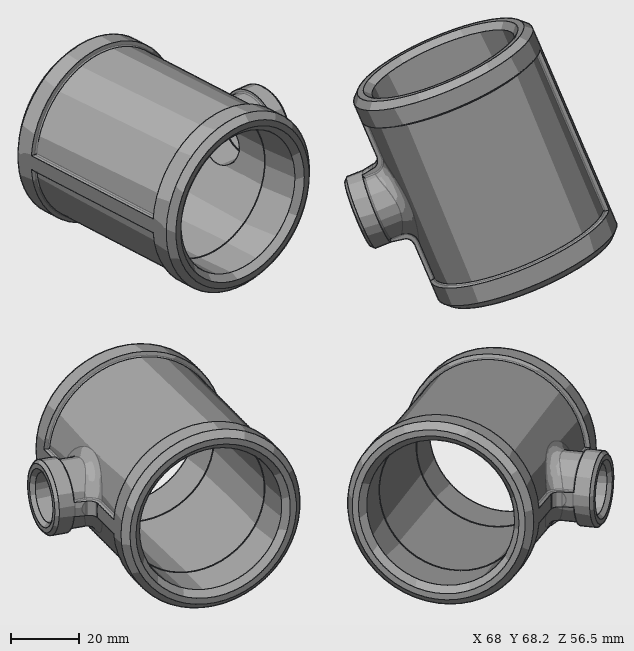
import cadquery as cq
import math

tube_length = 68.0
half_length = tube_length / 2
collar_radius = 56.5 / 2
collar_width = 8.0
collar_chamfer_length = 2.0
collar_chamfer_depth = 2.0
collar_step = 1.5
body_radius = collar_radius - collar_step

bore_radius = 44.84 / 2
mouth_radius = 48.7 / 2
thread_length = 15.0
relief_depth = 0.2
relief_radius = bore_radius + relief_depth

branch_end = 40.0
branch_collar_radius = 22.5 / 2
branch_collar_length = 6.0
branch_collar_start = branch_end - branch_collar_length
branch_chamfer = 1.0
neck_radius = 20.5 / 2
neck_fillet = 4.0
branch_bore_radius = 14.95 / 2
branch_relief_radius = 15.7 / 2
branch_thread_length = 9.0
branch_mouth_radius = 17.5 / 2

draft = math.radians(10)
root_fillet = 0.4
touch_tolerance = 1e-4

rib_width = 4.6
web_half_span = 11.6
web_fillet = 2.5


def turned_about_x(outline):
    return cq.Workplane("XY").polyline(outline).close().revolve(360, (0, 0, 0), (1, 0, 0))


def turned_about_y(outline):
    return cq.Workplane("XY").polyline(outline).close().revolve(360, (0, 0, 0), (0, 1, 0))


def cylinder_along_y(radius, start, end):
    return cq.Workplane("XZ", origin=(0, start, 0)).circle(radius).extrude(start - end)


def make_core():
    """Plain tube and branch neck, overlapping the collars to half their length."""
    core_half_length = half_length - collar_width / 2
    neck_top = branch_end - branch_collar_length / 2
    tube_plane = cq.Plane(origin=(0, 0, 0), xDir=(0, -1, 0), normal=(1, 0, 0))
    tube = cq.Workplane(tube_plane).circle(body_radius).extrude(core_half_length, both=True)
    neck = cylinder_along_y(neck_radius, 0, neck_top)
    junction = cq.selectors.BoxSelector(
        (-neck_radius, 0, -neck_radius),
        (neck_radius, branch_collar_start, neck_radius),
    )
    return tube.union(neck).edges(junction).edges("not #Z").fillet(neck_fillet)


def make_collar(side):
    """End collar with a chamfered rim and a drafted inner wall; side is -1 or 1."""
    foot = half_length - collar_width
    edge = foot + collar_step * math.tan(draft)
    return turned_about_x(
        [
            (side * half_length, 0),
            (side * half_length, collar_radius - collar_chamfer_depth),
            (side * (half_length - collar_chamfer_length), collar_radius),
            (side * edge, collar_radius),
            (side * foot, body_radius),
            (side * foot, 0),
        ]
    )


def make_branch_collar():
    foot = branch_collar_start
    edge = foot + (branch_collar_radius - neck_radius) * math.tan(draft)
    outline = [
        (0, branch_end),
        (branch_collar_radius, branch_end),
        (branch_collar_radius, edge),
        (neck_radius, foot),
        (0, foot),
    ]
    return turned_about_y(outline).faces(">Y").edges().chamfer(branch_chamfer)


def make_tube_ribs():
    slab = cq.Workplane("XY").box(tube_length - collar_width, 2 * collar_radius, rib_width)
    limit = cq.Workplane("YZ").circle(collar_radius).extrude(half_length, both=True)
    return slab.intersect(limit)


def make_branch_webs():
    """Ribs beside the neck, curving out onto the tube ribs and tapering up to the branch collar."""
    web_foot = web_half_span + web_fillet
    fillet_top = collar_radius + web_fillet
    plate = (
        cq.Workplane("XY")
        .moveTo(-web_foot, 0)
        .lineTo(-web_foot, collar_radius)
        .radiusArc((-web_half_span, fillet_top), -web_fillet)
        .lineTo(-web_half_span, branch_end - branch_chamfer)
        .lineTo(web_half_span, branch_end - branch_chamfer)
        .lineTo(web_half_span, fillet_top)
        .radiusArc((web_foot, collar_radius), -web_fillet)
        .lineTo(web_foot, 0)
        .close()
        .extrude(rib_width / 2, both=True)
    )
    cone_foot = branch_collar_radius + (branch_collar_start - fillet_top) * math.tan(draft)
    limit = turned_about_y(
        [
            (0, 0),
            (collar_radius, 0),
            (collar_radius, fillet_top),
            (cone_foot, fillet_top),
            (branch_collar_radius, branch_collar_start),
            (branch_collar_radius, branch_end - branch_chamfer),
            (0, branch_end - branch_chamfer),
        ]
    )
    return plate.intersect(limit)


def make_frame():
    """Everything that stands proud of the core: ribs, webs and collars."""
    frame = make_tube_ribs().union(make_branch_webs()).union(make_branch_collar())
    for side in (-1, 1):
        frame = frame.union(make_collar(side))
    return frame


def make_casting():
    core = make_core()
    frame = make_frame()
    skins = core.shells().vals() + frame.shells().vals()

    def is_wall_foot(edge):
        middle = cq.Vertex.makeVertex(*edge.positionAt(0.5).toTuple())
        return all(skin.distance(middle) < touch_tolerance for skin in skins)

    return core.union(frame).edges().filter(is_wall_foot).fillet(root_fillet)


def make_main_bore():
    countersink = mouth_radius - bore_radius
    thread_end = half_length - thread_length
    half_outline = [
        (half_length, mouth_radius),
        (half_length - countersink, bore_radius),
        (thread_end, bore_radius),
        (thread_end, relief_radius),
    ]
    mirrored = [(-x, radius) for x, radius in reversed(half_outline)]
    return turned_about_x([(half_length, 0)] + half_outline + mirrored + [(-half_length, 0)])


def make_branch_bore():
    countersink = branch_mouth_radius - branch_bore_radius
    thread_end = branch_end - branch_thread_length
    outline = [
        (0, 0),
        (branch_relief_radius, 0),
        (branch_relief_radius, thread_end),
        (branch_bore_radius, thread_end),
        (branch_bore_radius, branch_end - countersink),
        (branch_mouth_radius, branch_end),
        (0, branch_end),
    ]
    return turned_about_y(outline)


result = make_casting().cut(make_main_bore()).cut(make_branch_bore())